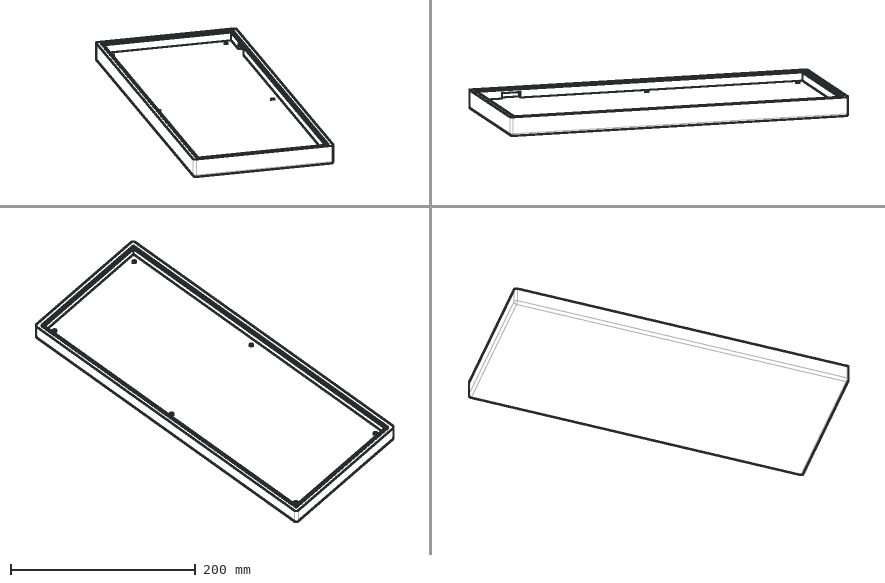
import cadquery as cq

LENGTH = 381.95
WIDTH = 158.11
HEIGHT = 21.18
EDGE_RADIUS = 3.0

RIM_WIDTH = 5.0
LEDGE_WIDTH = 2.5
LEDGE_DEPTH = 1.5
FLOOR_THICKNESS = 10.6

HOLE_DIAMETER = 3.7
HOLE_DEPTH = 6.0
HOLE_X_POSITIONS = (-175.9, 5.3, 176.1)
HOLE_Y_POSITIONS = (-64.6, 63.6)

RECESS_START_X = -155.5
RECESS_WIDTH = 21.0
RECESS_HEIGHT = 6.0
RECESS_DEPTH = 6.0

STEP_LENGTH = LENGTH - 2 * RIM_WIDTH
STEP_WIDTH = WIDTH - 2 * RIM_WIDTH
CAVITY_LENGTH = STEP_LENGTH - 2 * LEDGE_WIDTH
CAVITY_WIDTH = STEP_WIDTH - 2 * LEDGE_WIDTH
CAVITY_DEPTH = HEIGHT - FLOOR_THICKNESS


def box_above(length, width, height, bottom):
    """Box centred in X and Y that stands on the given Z level."""
    base = cq.Workplane("XY").workplane(offset=bottom)
    return base.box(length, width, height, centered=(True, True, False))


def make_body():
    """Solid block with rounded upright and bottom edges."""
    block = box_above(LENGTH, WIDTH, HEIGHT, 0)
    return block.edges("|Z or <Z").fillet(EDGE_RADIUS)


def make_opening():
    """Main cavity plus the wider, shallow step around its mouth."""
    cavity = box_above(CAVITY_LENGTH, CAVITY_WIDTH, CAVITY_DEPTH, FLOOR_THICKNESS)
    step = box_above(STEP_LENGTH, STEP_WIDTH, LEDGE_DEPTH, HEIGHT - LEDGE_DEPTH)
    return cavity.union(step)


def make_screw_holes():
    """Two rows of blind holes that start at the floor."""
    centres = [(x, y) for x in HOLE_X_POSITIONS for y in HOLE_Y_POSITIONS]
    return (
        cq.Workplane("XY")
        .workplane(offset=FLOOR_THICKNESS - HOLE_DEPTH)
        .pushPoints(centres)
        .circle(HOLE_DIAMETER / 2)
        .extrude(HOLE_DEPTH)
    )


def make_wall_recess():
    """Pocket cut outward into the back wall at floor level."""
    recess = cq.Workplane("XY").box(RECESS_WIDTH, RECESS_DEPTH, RECESS_HEIGHT, centered=False)
    return recess.translate((RECESS_START_X, CAVITY_WIDTH / 2, FLOOR_THICKNESS))


result = make_body().cut(make_opening()).cut(make_screw_holes()).cut(make_wall_recess())